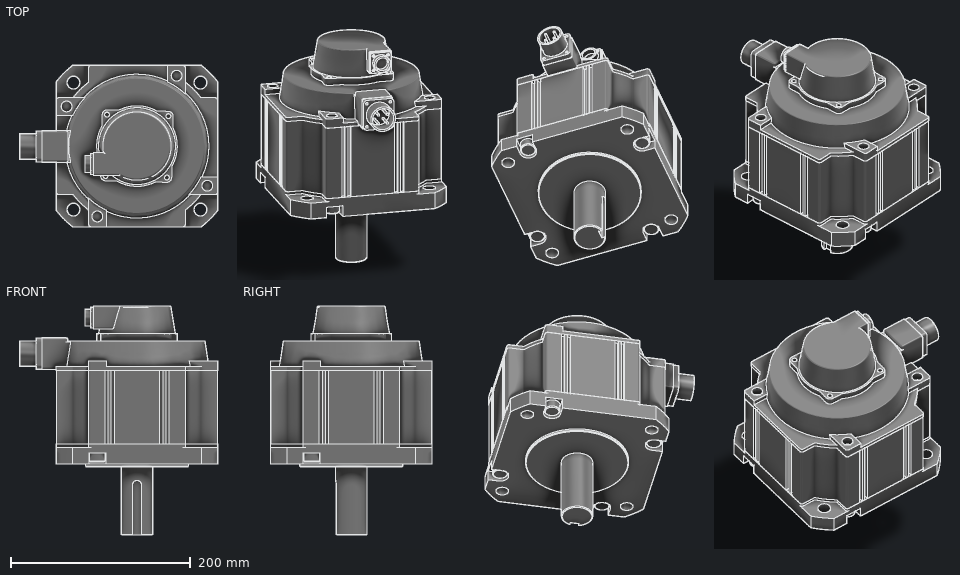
import cadquery as cq
import math


HALF_SIDE = 90.0
ARM_HALF = 53.8
CORE_RADIUS = 89.2
ARM_FILLET = 2.8
NOTCH_FILLET = 1.0
FILLET_SPLIT_RADIUS = 97.0

PILOT_BOTTOM = -3.0
FLANGE_CORNER_TOP = 18.5
FLANGE_TOP = 22.2
STATOR_TOP = 104.3
COVER_TOP = 109.0
LUG_TOP = 115.0
BELL_TOP = 137.2
ENCODER_BASE_TOP = 145.0
MOTOR_TOP = 176.0

FLANGE_CORNER_RADIUS = 115.0
MOUNT_HOLE_OFFSET = 70.6
MOUNT_HOLE_DIAMETER = 14.0
PILOT_RADIUS = 57.5
PILOT_CHAMFER = 0.8

STATOR_HALF_SIDE = 89.8
GROOVE_OFFSETS = (27.0, 34.0)
GROOVE_WIDTH = 3.5
GROOVE_DEPTH = 4.0

SHAFT_RADIUS = 17.5
SHAFT_END = -79.0
SHAFT_CHAMFER = 1.0
KEYWAY_WIDTH = 10.0
KEYWAY_DEPTH = 5.0
KEYWAY_TOP = -18.0

SCREW_OUT = 78.3
SCREW_ALONG = 44.0
SHANK_DIAMETER = 12.0
HEAD_DIAMETER = 17.3
HEAD_HEIGHT = 9.7
HEAD_CHAMFER = 1.0
POCKET_WIDTH = 18.9
POCKET_TOP = 12.2
LUG_INNER = 34.2

BELL_BOTTOM_RADIUS = 80.0
BELL_TOP_RADIUS = 75.7
BELL_FILLET = 1.3

POWER_Y = -0.5
POWER_Z = 123.0
POWER_TIP = -130.5
POWER_PLATE_FRONT = -112.2
POWER_PLATE_BACK = -105.8
POWER_BOX_END = -76.8
POWER_ROOT = -63.8
POWER_PLATE_SIDE = 35.0
POWER_BOX_SIDE = 35.5
POWER_SHELL_RADIUS = 14.3
POWER_BORE_RADIUS = 12.2
POWER_BOX_FILLET = 2.3
POWER_PLATE_FILLET = 4.0
POWER_SCREW_OFFSET = 13.5
PIN_OFFSET = 5.0
PIN_DIAMETER = 2.5
PIN_LENGTH = 17.8
CONNECTOR_SCREW_HOLE = 2.8

ENCODER_BASE_RADIUS = 45.0
ENCODER_SQUARE_HALF = 39.5
ENCODER_SQUARE_FILLET = 5.5
ENCODER_TURN = -1.4
ENCODER_HOLE_OFFSET = 34.2
ENCODER_HOLE_DIAMETER = 5.4
ENCODER_JOINT_FILLET = 3.8
CAN_BOTTOM_RADIUS = 42.8
CAN_TOP_RADIUS = 37.7
CAN_FILLET = 1.8

SIGNAL_Y = -20.0
SIGNAL_TIP = -58.0
SIGNAL_PLATE_FRONT = -51.5
SIGNAL_PLATE_BACK = -48.5
SIGNAL_ROOT = -12.8
SIGNAL_BOX_SIDE = 25.8
SIGNAL_PLATE_SIDE = 23.5
SIGNAL_SHELL_RADIUS = 9.5
SIGNAL_BORE_RADIUS = 7.5
SIGNAL_EDGE_FILLET = 1.8
SIGNAL_SCREW_OFFSET = 8.5
SIGNAL_Z = MOTOR_TOP - SIGNAL_BOX_SIDE / 2

TOLERANCE = 0.03
QUARTER_TURNS = (0, 90, 180, 270)


def box_between(x0, x1, y0, y1, z0, z1):
    """Box given by its limits along X, Y and Z."""
    return cq.Workplane("XY").box(x1 - x0, y1 - y0, z1 - z0, centered=False).translate((x0, y0, z0))


def cylinder_up(radius, z0, z1):
    """Cylinder on the motor axis."""
    return cq.Workplane("XY").workplane(offset=z0).circle(radius).extrude(z1 - z0)


def on_each_side(shape):
    """The four copies of a shape turned about the motor axis by quarter turns."""
    return [shape.rotate((0, 0, 0), (0, 0, 1), turn) for turn in QUARTER_TURNS]


def motor_section(z0, z1, half_side=HALF_SIDE):
    """Square body with a notch in each corner that reaches the round core."""
    arm_x = box_between(-half_side, half_side, -ARM_HALF, ARM_HALF, z0, z1)
    arm_y = box_between(-ARM_HALF, ARM_HALF, -half_side, half_side, z0, z1)
    section = arm_x.union(arm_y).union(cylinder_up(CORE_RADIUS, z0, z1))

    def is_arm_edge(edge):
        return math.hypot(edge.Center().x, edge.Center().y) > FILLET_SPLIT_RADIUS

    def is_notch_edge(edge):
        middle = edge.Center()
        on_arm_wall = abs(min(abs(middle.x), abs(middle.y)) - ARM_HALF) < TOLERANCE
        return on_arm_wall and not is_arm_edge(edge)

    section = section.edges("|Z").filter(is_notch_edge).fillet(NOTCH_FILLET)
    return section.edges("|Z").filter(is_arm_edge).fillet(ARM_FILLET)


def screw_holes(z0, z1):
    """Four cylinders on the screw axes."""
    hole = cq.Workplane("XY").workplane(offset=z0).center(-SCREW_OUT, SCREW_ALONG)
    return on_each_side(hole.circle(SHANK_DIAMETER / 2).extrude(z1 - z0))


def cut_all(body, tools):
    for tool in tools:
        body = body.cut(tool)
    return body


def connector_face(x, y, z):
    """Workplane across a connector axis; extrusions run along +X, into the motor."""
    return cq.Workplane("YZ", origin=(x, y, z))


def make_flange():
    plate = box_between(-HALF_SIDE, HALF_SIDE, -HALF_SIDE, HALF_SIDE, 0, FLANGE_CORNER_TOP)
    plate = plate.intersect(cylinder_up(FLANGE_CORNER_RADIUS, 0, FLANGE_CORNER_TOP))
    plate = plate.union(motor_section(FLANGE_CORNER_TOP, FLANGE_TOP))
    pilot = cylinder_up(PILOT_RADIUS, PILOT_BOTTOM, 0).faces("<Z").chamfer(PILOT_CHAMFER)
    flange = plate.union(pilot).cut(cylinder_up(SHAFT_RADIUS, PILOT_BOTTOM, FLANGE_TOP))

    mount_side = 2 * MOUNT_HOLE_OFFSET
    mount_holes = (
        cq.Workplane("XY")
        .rect(mount_side, mount_side, forConstruction=True)
        .vertices()
        .circle(MOUNT_HOLE_DIAMETER / 2)
        .extrude(FLANGE_CORNER_TOP)
    )
    pocket_half = POCKET_WIDTH / 2
    pocket = box_between(
        -HALF_SIDE, -SCREW_OUT, SCREW_ALONG - pocket_half, SCREW_ALONG + pocket_half, 0, POCKET_TOP
    )
    pocket_end = cq.Workplane("XY").center(-SCREW_OUT, SCREW_ALONG).circle(pocket_half).extrude(POCKET_TOP)
    flange = flange.cut(mount_holes)
    flange = cut_all(flange, on_each_side(pocket.union(pocket_end)))
    return cut_all(flange, screw_holes(0, FLANGE_TOP))


def make_stator():
    stator = motor_section(FLANGE_TOP, STATOR_TOP, STATOR_HALF_SIDE)
    for offset in GROOVE_OFFSETS:
        for along in (-offset, offset):
            groove = box_between(
                -STATOR_HALF_SIDE, GROOVE_DEPTH - STATOR_HALF_SIDE,
                along - GROOVE_WIDTH / 2, along + GROOVE_WIDTH / 2,
                FLANGE_TOP, STATOR_TOP,
            )
            stator = cut_all(stator, on_each_side(groove))
    return cut_all(stator, screw_holes(FLANGE_TOP, STATOR_TOP))


def cut_plate_holes(plate, y, z, front, back, offset):
    """Plate of a connector with a screw hole in each corner."""
    holes = (
        connector_face(front, y, z)
        .rect(2 * offset, 2 * offset, forConstruction=True)
        .vertices()
        .circle(CONNECTOR_SCREW_HOLE / 2)
        .extrude(back - front)
    )
    return plate.cut(holes)


def make_power_connector():
    half = POWER_BOX_SIDE / 2
    bottom = POWER_Z - half
    left = POWER_Y - half
    right = POWER_Y + half
    box = box_between(POWER_PLATE_BACK, POWER_BOX_END, left, right, bottom, POWER_Z + half)
    box = box.edges("|X or >X").fillet(POWER_BOX_FILLET)
    root_start = POWER_BOX_END - 2 * POWER_BOX_FILLET
    root = box_between(root_start, POWER_ROOT, left, right, COVER_TOP, BELL_TOP - BELL_FILLET)
    plate = (
        connector_face(POWER_PLATE_FRONT, POWER_Y, POWER_Z)
        .rect(POWER_PLATE_SIDE, POWER_PLATE_SIDE)
        .extrude(POWER_PLATE_BACK - POWER_PLATE_FRONT)
        .edges("|X")
        .fillet(POWER_PLATE_FILLET)
    )
    plate = cut_plate_holes(
        plate, POWER_Y, POWER_Z, POWER_PLATE_FRONT, POWER_PLATE_BACK, POWER_SCREW_OFFSET
    )
    shell = (
        connector_face(POWER_TIP, POWER_Y, POWER_Z)
        .circle(POWER_SHELL_RADIUS)
        .circle(POWER_BORE_RADIUS)
        .extrude(POWER_PLATE_FRONT - POWER_TIP)
    )
    pins = (
        connector_face(POWER_PLATE_FRONT - PIN_LENGTH, POWER_Y, POWER_Z)
        .rect(2 * PIN_OFFSET, 2 * PIN_OFFSET, forConstruction=True)
        .vertices()
        .circle(PIN_DIAMETER / 2)
        .extrude(PIN_LENGTH)
    )
    return box.union(root).union(plate).union(shell).union(pins)


def make_rear_cover():
    cover = motor_section(STATOR_TOP, COVER_TOP)
    lug = box_between(-HALF_SIDE, 0, LUG_INNER, ARM_HALF, COVER_TOP, LUG_TOP)
    lug = lug.edges("|Z and <X and >Y").fillet(ARM_FILLET)
    for side_lug in on_each_side(lug):
        cover = cover.union(side_lug)
    bell = (
        cq.Workplane("XZ")
        .moveTo(0, COVER_TOP)
        .lineTo(BELL_BOTTOM_RADIUS, COVER_TOP)
        .lineTo(BELL_TOP_RADIUS, BELL_TOP)
        .lineTo(0, BELL_TOP)
        .close()
        .revolve(360, (0, 0, 0), (0, 1, 0))
        .faces(">Z")
        .edges()
        .fillet(BELL_FILLET)
    )
    cover = cut_all(cover, screw_holes(STATOR_TOP, LUG_TOP))
    return cover.union(bell).union(make_power_connector())


def make_encoder_cover():
    base_height = ENCODER_BASE_TOP - BELL_TOP
    square_side = 2 * ENCODER_SQUARE_HALF
    hole_side = 2 * ENCODER_HOLE_OFFSET
    square = (
        cq.Workplane("XY")
        .workplane(offset=BELL_TOP)
        .rect(square_side, square_side)
        .extrude(base_height)
        .edges("|Z")
        .fillet(ENCODER_SQUARE_FILLET)
    )
    base = square.union(cylinder_up(ENCODER_BASE_RADIUS, BELL_TOP, ENCODER_BASE_TOP))

    def is_joint_edge(edge):
        middle = edge.Center()
        on_square = max(abs(middle.x), abs(middle.y)) < ENCODER_SQUARE_HALF + TOLERANCE
        return on_square and math.hypot(middle.x, middle.y) < ENCODER_BASE_RADIUS + TOLERANCE

    base = base.edges("|Z").filter(is_joint_edge).fillet(ENCODER_JOINT_FILLET)
    holes = (
        cq.Workplane("XY")
        .workplane(offset=BELL_TOP)
        .rect(hole_side, hole_side, forConstruction=True)
        .vertices()
        .circle(ENCODER_HOLE_DIAMETER / 2)
        .extrude(base_height)
    )
    base = base.cut(holes).rotate((0, 0, 0), (0, 0, 1), ENCODER_TURN)
    can = (
        cq.Workplane("XZ")
        .moveTo(0, ENCODER_BASE_TOP)
        .lineTo(CAN_BOTTOM_RADIUS, ENCODER_BASE_TOP)
        .lineTo(CAN_TOP_RADIUS, MOTOR_TOP)
        .lineTo(0, MOTOR_TOP)
        .close()
        .revolve(360, (0, 0, 0), (0, 1, 0))
        .faces(">Z")
        .edges()
        .fillet(CAN_FILLET)
    )
    return base.union(can).union(make_signal_connector())


def make_signal_connector():
    box = (
        connector_face(SIGNAL_PLATE_BACK, SIGNAL_Y, SIGNAL_Z)
        .rect(SIGNAL_BOX_SIDE, SIGNAL_BOX_SIDE)
        .extrude(SIGNAL_ROOT - SIGNAL_PLATE_BACK)
        .edges("|X")
        .fillet(SIGNAL_EDGE_FILLET)
    )
    plate = (
        connector_face(SIGNAL_PLATE_FRONT, SIGNAL_Y, SIGNAL_Z)
        .rect(SIGNAL_PLATE_SIDE, SIGNAL_PLATE_SIDE)
        .extrude(SIGNAL_PLATE_BACK - SIGNAL_PLATE_FRONT)
        .edges("|X")
        .fillet(SIGNAL_EDGE_FILLET)
    )
    plate = cut_plate_holes(
        plate, SIGNAL_Y, SIGNAL_Z, SIGNAL_PLATE_FRONT, SIGNAL_PLATE_BACK, SIGNAL_SCREW_OFFSET
    )
    shell = (
        connector_face(SIGNAL_TIP, SIGNAL_Y, SIGNAL_Z)
        .circle(SIGNAL_SHELL_RADIUS)
        .circle(SIGNAL_BORE_RADIUS)
        .extrude(SIGNAL_PLATE_FRONT - SIGNAL_TIP)
    )
    return box.union(plate).union(shell)


def make_shaft():
    shaft = cylinder_up(SHAFT_RADIUS, SHAFT_END, FLANGE_TOP).faces("<Z").chamfer(SHAFT_CHAMFER)
    half = KEYWAY_WIDTH / 2
    floor = KEYWAY_DEPTH - SHAFT_RADIUS
    keyway = box_between(-half, half, -SHAFT_RADIUS, floor, SHAFT_END, KEYWAY_TOP - half)
    round_end = (
        cq.Workplane("XZ", origin=(0, floor, KEYWAY_TOP - half))
        .circle(half)
        .extrude(KEYWAY_DEPTH)
    )
    return shaft.cut(keyway).cut(round_end)


def make_screw(turn):
    head = (
        cq.Workplane("XY")
        .workplane(offset=POCKET_TOP - HEAD_HEIGHT)
        .center(-SCREW_OUT, SCREW_ALONG)
        .circle(HEAD_DIAMETER / 2)
        .extrude(HEAD_HEIGHT)
        .faces("<Z")
        .chamfer(HEAD_CHAMFER)
    )
    shank = (
        cq.Workplane("XY")
        .workplane(offset=POCKET_TOP)
        .center(-SCREW_OUT, SCREW_ALONG)
        .circle(SHANK_DIAMETER / 2)
        .extrude(STATOR_TOP - POCKET_TOP)
    )
    return head.union(shank).rotate((0, 0, 0), (0, 0, 1), turn)


flange = make_flange()
stator = make_stator()
rear_cover = make_rear_cover()
encoder_cover = make_encoder_cover()
shaft = make_shaft()
screws = [make_screw(turn) for turn in QUARTER_TURNS]

result = cq.Compound.makeCompound([
    flange.val(),
    stator.val(),
    rear_cover.val(),
    encoder_cover.val(),
    shaft.val(),
    *[screw.val() for screw in screws],
])